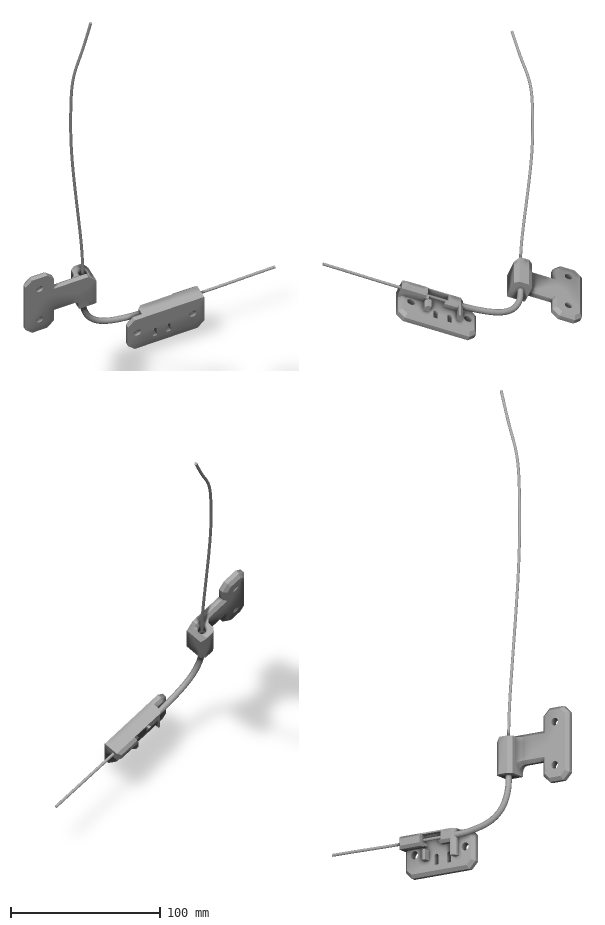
import cadquery as cq
import math

BACK_X = 15.0
PLATE_T = 5.5
PLATE_X = BACK_X - PLATE_T
CORNER = 5.0
BEVEL = 2.3

WIRE_D = 2.0
WIRE_BORE_D = 2.2
SHEATH_D = 4.2
SHEATH_GAP = 0.3
CABLE_X = PLATE_X - SHEATH_GAP - SHEATH_D / 2
SOCKET_DEPTH = 5.0

HOUSING_Y0 = 75.8
HOUSING_Y1 = 132.0
HOUSING_TOP = 28.0
WIRE_Z = 24.0
BLOCK_X = 4.0
RAISED_X = 1.5
BLOCK_Z = 19.3
BLOCK_BEVEL = 2.0
BLOCK_Y0 = 87.5
WINDOW_Y0 = 98.5
WINDOW_Y1 = 114.3
LIP_W = 2.0
ROOF_Z = 27.0
ROOF_BACK_X = 8.0
SLOPE_Z = 24.8
LUG_Z = 9.5
RIB_T = 3.5
POST_Y0 = 111.0
POST_W = 4.0
POST_BEVEL = 1.5
POST_TOP = 16.5
HOUSING_HOLE_D = 5.5
HOUSING_HOLE_Z = 15.5
HOUSING_HOLE_YS = (82.5, 123.5)
SLOT_YS = (95.7, 105.8)
SLOT_W = 3.3
SLOT_Z0 = 6.2
SLOT_Z1 = 13.7

HEAD_W = 21.0
HEAD_Z0 = 50.3
HEAD_H = 51.3
HEAD_Z1 = HEAD_Z0 + HEAD_H
HEAD_MID_Z = HEAD_Z0 + HEAD_H / 2
ARM_W = 21.0
ARM_Z0 = HEAD_MID_Z - ARM_W / 2
ARM_Z1 = HEAD_MID_Z + ARM_W / 2
ARM_END_Y = 52.3
ARM_CORNER = 6.0
CLIP_Y0 = 39.5
CLIP_Z0 = 58.0
CLIP_Z1 = ARM_Z1 - BEVEL
CLIP_BEVEL_Y = 3.0
CLIP_BEVEL_X = 2.3
CLIP_FILLET_R = 4.0
OUTLET_D = 5.2
OUTLET_DEPTH = 6.5
OUTLET_MOUTH_D = 9.8
HEAD_HOLE_D = 5.2
HEAD_HOLE_Y = 10.5
HEAD_HOLE_PITCH = 30.0
CLIP_WIRE_Y = (CLIP_Y0 + ARM_END_Y) / 2

WIRE_SIDE_END = (187.8, 24.5)
WIRE_TOP_DIRECTION = (0.26, 1)
WIRE_TOP_TILT = math.atan2(*WIRE_TOP_DIRECTION)
WIRE_TOP_Z = 326.5
WIRE_TOP_END = (52.0, WIRE_TOP_Z - WIRE_D / 2 * math.sin(WIRE_TOP_TILT))
SHEATH_START = (BLOCK_Y0 + SOCKET_DEPTH, WIRE_Z)
SHEATH_END = (CLIP_WIRE_Y, CLIP_Z0 + SOCKET_DEPTH)

SHEATH_BEND = [(74.0, 25.0), (58.0, 30.5), (49.0, 40.5), (46.5, 49.0)]
WIRE_RISE = [(43.8, 126.5), (40.0, 173.5), (37.2, 218.8), (37.2, 252.0), (40.2, 283.5), (44.7, 299.2)]


def prism_x(points, x0, x1):
    """Closed (y, z) outline extruded from x0 to x1."""
    return cq.Workplane("YZ", origin=(x0, 0, 0)).polyline(points).close().extrude(x1 - x0)


def prism_y(points, y0, y1):
    """Closed (x, z) outline extruded from y0 to y1."""
    return cq.Workplane("XZ", origin=(0, y0, 0)).polyline(points).close().extrude(y0 - y1)


def prism_z(points, z0, z1):
    """Closed (x, y) outline extruded from z0 to z1."""
    return cq.Workplane("XY", origin=(0, 0, z0)).polyline(points).close().extrude(z1 - z0)


def box(x0, x1, y0, y1, z0, z1):
    return cq.Workplane("XY").box(x1 - x0, y1 - y0, z1 - z0, centered=False).translate((x0, y0, z0))


def cylinder_x(diameter, y, z):
    """Cutter through a plate."""
    return cq.Workplane("YZ", origin=(0, y, z)).circle(diameter / 2).extrude(BACK_X)


def cylinder_y(diameter, y0, y1):
    """Cutter along the wire inside the housing."""
    return cq.Workplane("XZ", origin=(CABLE_X, y0, WIRE_Z)).circle(diameter / 2).extrude(y0 - y1)


def cylinder_z(diameter, z0, z1):
    """Cutter along the wire inside the clip."""
    return cq.Workplane("XY", origin=(CABLE_X, CLIP_WIRE_Y, z0)).circle(diameter / 2).extrude(z1 - z0)



def housing_plate():
    """Plate with three cut corners; its square upper end carries the channel block."""
    outline = [
        (HOUSING_Y1, HOUSING_TOP),
        (HOUSING_Y1, CORNER),
        (HOUSING_Y1 - CORNER, 0),
        (HOUSING_Y0 + CORNER, 0),
        (HOUSING_Y0, CORNER),
        (HOUSING_Y0, HOUSING_TOP - CORNER),
        (HOUSING_Y0 + CORNER, HOUSING_TOP),
    ]
    return prism_x(outline, PLATE_X, BACK_X).faces("<X").chamfer(BEVEL)


def channel_block():
    """Block along the upper edge, with its raised end and bevelled end faces."""
    def section(front_x):
        return [
            (BACK_X, HOUSING_TOP),
            (front_x, HOUSING_TOP),
            (front_x, BLOCK_Z + BLOCK_BEVEL),
            (front_x + BLOCK_BEVEL, BLOCK_Z),
            (BACK_X, BLOCK_Z),
        ]

    low = prism_y(section(BLOCK_X), BLOCK_Y0, HOUSING_Y1)
    raised = prism_y(section(RAISED_X), WINDOW_Y1, HOUSING_Y1)
    raised = raised.faces("<X").edges(">Z").chamfer(BEVEL)
    plan = [
        (BACK_X, BLOCK_Y0),
        (BLOCK_X + BEVEL, BLOCK_Y0),
        (BLOCK_X, BLOCK_Y0 + BEVEL),
        (RAISED_X, BLOCK_Y0 + BEVEL),
        (RAISED_X, HOUSING_Y1 - BEVEL),
        (RAISED_X + BEVEL, HOUSING_Y1),
        (BACK_X, HOUSING_Y1),
    ]
    return low.union(raised).intersect(prism_z(plan, 0, HOUSING_TOP))


def window():
    """Opening in front of the wire, below a thin roof with a slope at its back."""
    section = [
        (0, ROOF_Z),
        (ROOF_BACK_X, ROOF_Z),
        (PLATE_X, SLOPE_Z),
        (PLATE_X, BLOCK_Z + BLOCK_BEVEL),
        (0, BLOCK_Z + BLOCK_BEVEL),
    ]
    upper = prism_y(section, WINDOW_Y0, WINDOW_Y1)
    lower = box(0, PLATE_X, WINDOW_Y0 + LIP_W, WINDOW_Y1 - LIP_W, 0, BLOCK_Z + BLOCK_BEVEL)
    return upper.union(lower)


def rib():
    """Upright rib below the sheath entry, continuing the bevelled end of the block."""
    plan = [
        (PLATE_X, BLOCK_Y0),
        (BLOCK_X + BEVEL, BLOCK_Y0),
        (BLOCK_X, BLOCK_Y0 + BEVEL),
        (BLOCK_X, BLOCK_Y0 + RIB_T),
        (PLATE_X, BLOCK_Y0 + RIB_T),
    ]
    return prism_z(plan, LUG_Z, HOUSING_TOP)


def post():
    """Small post with one bevelled front edge."""
    y1 = POST_Y0 + POST_W
    plan = [
        (PLATE_X, POST_Y0),
        (BLOCK_X, POST_Y0),
        (BLOCK_X, y1 - POST_BEVEL),
        (BLOCK_X + POST_BEVEL, y1),
        (PLATE_X, y1),
    ]
    return prism_z(plan, LUG_Z, POST_TOP)


def tie_slot(y):
    """Upright slot with a round top."""
    radius = SLOT_W / 2
    body = box(0, BACK_X, y - radius, y + radius, SLOT_Z0, SLOT_Z1 - radius)
    return body.union(cylinder_x(SLOT_W, y, SLOT_Z1 - radius))


def make_housing():
    block = channel_block().cut(window())
    housing = housing_plate().union(block).union(rib()).union(post())
    for y in HOUSING_HOLE_YS:
        housing = housing.cut(cylinder_x(HOUSING_HOLE_D, y, HOUSING_HOLE_Z))
    for y in SLOT_YS:
        housing = housing.cut(tie_slot(y))
    housing = housing.cut(cylinder_y(WIRE_BORE_D, BLOCK_Y0, HOUSING_Y1))
    return housing.cut(cylinder_y(SHEATH_D, BLOCK_Y0, BLOCK_Y0 + SOCKET_DEPTH))



def t_plate():
    outline = [
        (0, HEAD_Z0 + CORNER),
        (0, HEAD_Z1 - CORNER),
        (CORNER, HEAD_Z1),
        (HEAD_W - CORNER, HEAD_Z1),
        (HEAD_W, HEAD_Z1 - CORNER),
        (HEAD_W, ARM_Z1),
        (ARM_END_Y - ARM_CORNER, ARM_Z1),
        (ARM_END_Y, ARM_Z1 - ARM_CORNER),
        (ARM_END_Y, ARM_Z0),
        (HEAD_W, ARM_Z0),
        (HEAD_W, HEAD_Z0 + CORNER),
        (HEAD_W - CORNER, HEAD_Z0),
        (CORNER, HEAD_Z0),
    ]
    return prism_x(outline, PLATE_X, BACK_X).faces("<X").chamfer(BEVEL)


def clip():
    """Upright block around the sheath end, with bevelled front edges and one cut corner."""
    plan = [
        (BACK_X, CLIP_Y0),
        (CLIP_BEVEL_X, CLIP_Y0),
        (0, CLIP_Y0 + CLIP_BEVEL_Y),
        (0, ARM_END_Y - CLIP_BEVEL_Y),
        (CLIP_BEVEL_X, ARM_END_Y),
        (BACK_X, ARM_END_Y),
    ]
    corner_cut = [
        (ARM_END_Y - ARM_CORNER, ARM_Z1),
        (ARM_END_Y, ARM_Z1),
        (ARM_END_Y, ARM_Z1 - ARM_CORNER),
    ]
    return prism_z(plan, CLIP_Z0, CLIP_Z1).cut(prism_x(corner_cut, 0, BACK_X))


def round_clip_foot(bracket):
    """Concave round where the side of the clip meets the front, bevel and underside of the arm."""
    margin = 0.03
    foot_edges = cq.selectors.BoxSelector(
        (PLATE_X - margin, CLIP_Y0 - margin, ARM_Z0 - margin),
        (BACK_X - margin, CLIP_Y0 + margin, CLIP_Z1 - margin),
    )
    return bracket.edges(foot_edges).fillet(CLIP_FILLET_R)


def wire_outlet():
    """Cutter for the wire outlet, with a mouth that rounds over into the top of the clip."""
    bore_r = OUTLET_D / 2
    mouth_r = OUTLET_MOUTH_D / 2
    round_r = mouth_r - bore_r
    round_mid = round_r * math.sqrt(0.5)
    return (
        cq.Workplane("XZ", origin=(CABLE_X, CLIP_WIRE_Y, CLIP_Z1))
        .lineTo(mouth_r, 0)
        .threePointArc((mouth_r - round_mid, round_mid - round_r), (bore_r, -round_r))
        .lineTo(bore_r, -OUTLET_DEPTH)
        .lineTo(0, -OUTLET_DEPTH)
        .close()
        .revolve()
    )


def make_t_bracket():
    bracket = round_clip_foot(t_plate().union(clip()))
    for side in (-1, 1):
        hole_z = HEAD_MID_Z + side * HEAD_HOLE_PITCH / 2
        bracket = bracket.cut(cylinder_x(HEAD_HOLE_D, HEAD_HOLE_Y, hole_z))
    bracket = bracket.cut(cylinder_z(WIRE_BORE_D, CLIP_Z0, ARM_Z1))
    bracket = bracket.cut(cylinder_z(SHEATH_D, CLIP_Z0, CLIP_Z0 + SOCKET_DEPTH))
    return bracket.cut(wire_outlet())



def at_cable(point):
    return cq.Vector(CABLE_X, *point)


def straight(start, end):
    return cq.Edge.makeLine(at_cable(start), at_cable(end))


def sheath_edges():
    """Straight ends inside the brackets and the bend between them."""
    bend_start = (BLOCK_Y0, WIRE_Z)
    bend_end = (CLIP_WIRE_Y, CLIP_Z0)
    bend = cq.Edge.makeSpline(
        [at_cable(point) for point in [bend_start, *SHEATH_BEND, bend_end]],
        tangents=[cq.Vector(0, -1, 0), cq.Vector(0, 0, 1)],
    )
    return [straight(SHEATH_START, bend_start), bend, straight(bend_end, SHEATH_END)]


def wire_edges():
    """Wire from its free side end, through housing, sheath and clip, to its free top end."""
    housing_exit = (HOUSING_Y1, WIRE_Z)
    clip_exit = (CLIP_WIRE_Y, CLIP_Z1)
    side_run = cq.Edge.makeSpline(
        [at_cable(WIRE_SIDE_END), at_cable(housing_exit)],
        tangents=[cq.Vector(0, -1, 0), cq.Vector(0, -1, 0)],
    )
    rise = cq.Edge.makeSpline(
        [at_cable(point) for point in [clip_exit, *WIRE_RISE, WIRE_TOP_END]],
        tangents=[cq.Vector(0, 0, 1), cq.Vector(0, *WIRE_TOP_DIRECTION)],
    )
    return [
        side_run,
        straight(housing_exit, SHEATH_START),
        *sheath_edges(),
        straight(SHEATH_END, clip_exit),
        rise,
    ]


def swept_round(edges, start, diameter):
    """Round bar along the edges, which leave the start point towards -Y."""
    path = cq.Workplane(cq.Wire.assembleEdges(edges))
    profile = cq.Workplane("XZ", origin=at_cable(start).toTuple()).circle(diameter / 2)
    return profile.sweep(path)


def make_sheath():
    outside = swept_round(sheath_edges(), SHEATH_START, SHEATH_D)
    return outside.cut(swept_round(sheath_edges(), SHEATH_START, WIRE_BORE_D))


def make_wire():
    return swept_round(wire_edges(), WIRE_SIDE_END, WIRE_D)


housing = make_housing()
t_bracket = make_t_bracket()
sheath = make_sheath()
wire = make_wire()

result = cq.Compound.makeCompound(
    [body.solids().val() for body in (housing, t_bracket, sheath, wire)]
)